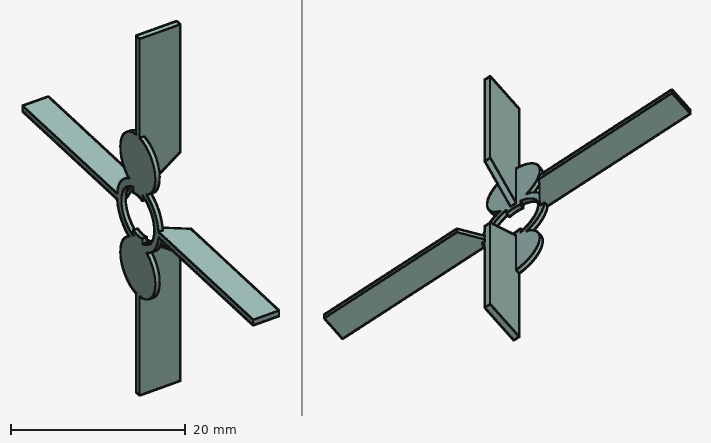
import cadquery as cq

span = 50.0
plate_thickness = 0.6

ring_outer_radius = 4.5
ring_inner_radius = 3.55

disc_radius = 3.8
disc_offset = 7.35

tab_width = 2.0
tab_tip_radius = 2.8

blade_thickness = 0.8
side_blade_depth = 3.5
side_blade_root = 3.8
side_blade_shoulder = 5.9
upright_blade_depth = 5.5
upright_blade_root = 3.55
upright_blade_shoulder = 7.1


def front_plane():
    """Plane of the flat front face, with its normal along +Y."""
    return cq.Workplane("XZ").workplane(invert=True)


def make_ring():
    return (
        front_plane()
        .circle(ring_outer_radius)
        .circle(ring_inner_radius)
        .extrude(plate_thickness)
    )


def make_disc(direction):
    """Disc above (+1) or below (-1) the ring, kept clear of the ring opening."""
    disc = (
        front_plane()
        .center(0, direction * disc_offset)
        .circle(disc_radius)
        .extrude(plate_thickness)
    )
    opening = front_plane().circle(ring_inner_radius).extrude(plate_thickness)
    return disc.cut(opening)


def make_tabs():
    """Upper and lower tabs whose tips follow an arc concentric with the ring."""
    ring_middle_radius = (ring_outer_radius + ring_inner_radius) / 2
    band = (
        front_plane()
        .circle(ring_middle_radius)
        .circle(tab_tip_radius)
        .extrude(plate_thickness)
    )
    strip = front_plane().rect(tab_width, span).extrude(plate_thickness)
    return band.intersect(strip)


def make_blade(depth, root, shoulder):
    """Blade along +X with a sloped inner end rising from the plate's rear face."""
    tip = span / 2
    return (
        cq.Workplane("XY")
        .moveTo(root, 0)
        .lineTo(tip, 0)
        .lineTo(tip, depth)
        .lineTo(shoulder, depth)
        .lineTo(root, plate_thickness)
        .close()
        .extrude(blade_thickness / 2, both=True)
    )


def turn(shape, angle):
    """Rotate a shape about the ring axis."""
    return shape.rotate((0, 0, 0), (0, 1, 0), angle)


side_blade = make_blade(side_blade_depth, side_blade_root, side_blade_shoulder)
upright_blade = make_blade(upright_blade_depth, upright_blade_root, upright_blade_shoulder)

result = make_ring().union(make_tabs())
for direction in (1, -1):
    result = result.union(make_disc(direction))
for half_turn in (0, 180):
    result = result.union(turn(side_blade, half_turn))
    result = result.union(turn(upright_blade, half_turn + 90))